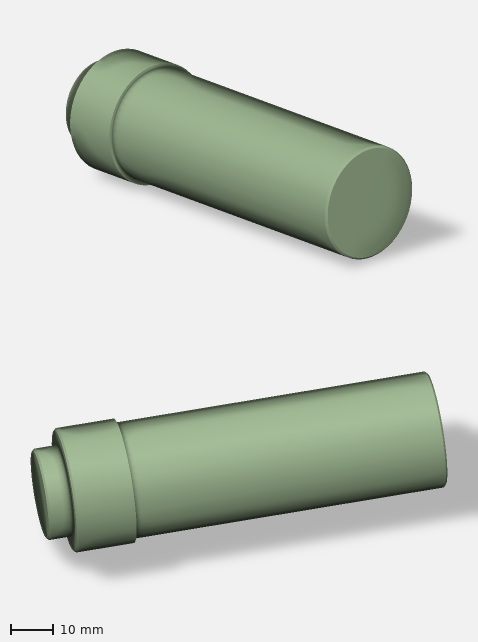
import cadquery as cq

nose_end = 6.0
collar_end = 20.4
body_end = 96.1

nose_diameter = 22.0
collar_diameter = 30.0
body_diameter = 28.0

edge_chamfer = 0.5
relief_chamfer = 0.3


def cylinder(diameter, start, end):
    """Cylinder centred on the X axis between two X positions."""
    return cq.Workplane("YZ", origin=(start, 0, 0)).circle(diameter / 2).extrude(end - start)


nose = cylinder(nose_diameter, 0, nose_end)
nose = nose.faces("<X").chamfer(edge_chamfer)
nose = nose.faces(">X").chamfer(relief_chamfer)

collar = cylinder(collar_diameter, nose_end, collar_end).faces("<X").chamfer(edge_chamfer)
body = cylinder(body_diameter, collar_end, body_end).faces(">X").chamfer(edge_chamfer)

result = nose.union(collar).union(body)